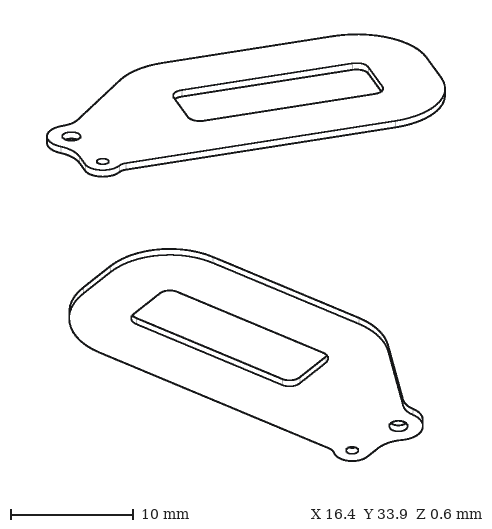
import cadquery as cq
import math

length = 33.9
thickness = 0.6
body_width = 15.75
corner_radius = 6.0

large_lug_radius = 2.0
large_hole_diameter = 1.5
large_lug_x = 9.85
large_lug_y = large_lug_radius

small_lug_radius = 1.53
small_hole_diameter = 1.0
small_lug_x = 14.88
small_lug_y = 3.02

slope_blend_radius = 2.0
lug_blend_radius = 3.0
side_blend_radius = 1.02

window_width = 5.65
window_length = 16.75
window_left = 5.05
window_bottom = 12.1
window_corner_radius = 1.02

slope_angle = 45.0


def on_circle(center, radius, degrees):
    angle = math.radians(degrees)
    return (center[0] + radius * math.cos(angle), center[1] + radius * math.sin(angle))


def direction(start, end):
    """Angle in degrees of the line from start to end."""
    return math.degrees(math.atan2(end[1] - start[1], end[0] - start[0]))


def add_arc(outline, center, radius, start_angle, end_angle):
    """Continue the outline along a circle that starts at its current point."""
    middle = on_circle(center, radius, (start_angle + end_angle) / 2)
    return outline.threePointArc(middle, on_circle(center, radius, end_angle))


def make_plate():
    large_lug = (large_lug_x, large_lug_y)
    small_lug = (small_lug_x, small_lug_y)

    slope_blend = (large_lug_x - large_lug_radius - slope_blend_radius, large_lug_y)
    slope_end = on_circle(slope_blend, slope_blend_radius, slope_angle)

    corner_angle = 180 + slope_angle
    corner_start_x = on_circle((corner_radius, 0), corner_radius, corner_angle)[0]
    slope_run = slope_end[0] - corner_start_x
    slope_start_y = slope_end[1] + slope_run * math.tan(math.radians(slope_angle))
    corner_y = slope_start_y + corner_radius * math.sin(math.radians(slope_angle))
    lower_corner = (corner_radius, corner_y)

    flat_y = small_lug_y - small_lug_radius
    lug_blend_y = flat_y - lug_blend_radius
    lug_distance = large_lug_radius + lug_blend_radius
    lug_blend_x = large_lug_x + math.sqrt(lug_distance**2 - (large_lug_y - lug_blend_y) ** 2)
    lug_blend = (lug_blend_x, lug_blend_y)

    side_blend_x = body_width + side_blend_radius
    side_distance = small_lug_radius + side_blend_radius
    side_blend_y = small_lug_y + math.sqrt(side_distance**2 - (side_blend_x - small_lug_x) ** 2)
    side_blend = (side_blend_x, side_blend_y)

    top_corner_y = length - corner_radius
    top_left = (corner_radius, top_corner_y)
    top_right = (body_width - corner_radius, top_corner_y)
    lug_angle = direction(large_lug, lug_blend)
    side_angle = direction(small_lug, side_blend)

    outline = cq.Workplane("XY").moveTo(0, top_corner_y).lineTo(0, corner_y)
    outline = add_arc(outline, lower_corner, corner_radius, 180, corner_angle)
    outline = outline.lineTo(*slope_end)
    outline = add_arc(outline, slope_blend, slope_blend_radius, slope_angle, 0)
    outline = add_arc(outline, large_lug, large_lug_radius, -180, lug_angle)
    outline = add_arc(outline, lug_blend, lug_blend_radius, 180 + lug_angle, 90)
    outline = outline.lineTo(small_lug_x, flat_y)
    outline = add_arc(outline, small_lug, small_lug_radius, -90, side_angle)
    outline = add_arc(outline, side_blend, side_blend_radius, 180 + side_angle, 180)
    outline = outline.lineTo(body_width, top_corner_y)
    outline = add_arc(outline, top_right, corner_radius, 0, 90)
    outline = outline.lineTo(corner_radius, length)
    outline = add_arc(outline, top_left, corner_radius, 90, 180)
    return outline.close().extrude(thickness)


def make_window():
    return (
        cq.Workplane("XY")
        .center(window_left + window_width / 2, window_bottom + window_length / 2)
        .rect(window_width, window_length)
        .extrude(thickness)
        .edges("|Z")
        .fillet(window_corner_radius)
    )


def make_hole(x, y, diameter):
    return cq.Workplane("XY").center(x, y).circle(diameter / 2).extrude(thickness)


result = (
    make_plate()
    .cut(make_window())
    .cut(make_hole(large_lug_x, large_lug_y, large_hole_diameter))
    .cut(make_hole(small_lug_x, small_lug_y, small_hole_diameter))
)